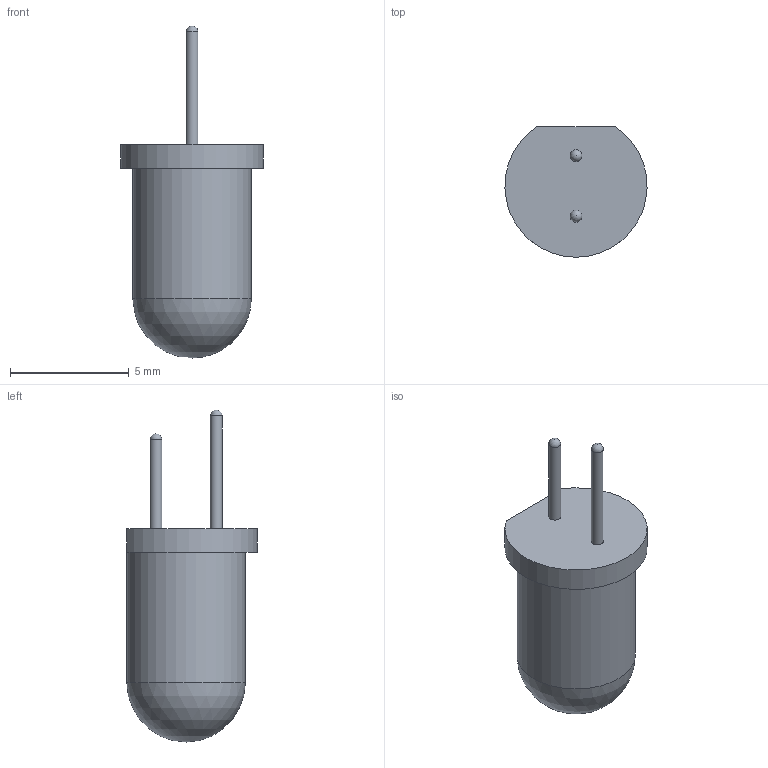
import cadquery as cq

lens_radius = 2.5
lens_height = 8.0
lens_straight = lens_height - lens_radius

flange_radius = 3.0
flange_thickness = 1.0
flat_y = lens_radius

lead_radius = 0.25
lead_pitch = 2.54
long_lead = 5.0
short_lead = 4.0

flange_bottom = -flange_thickness
dome_start = flange_bottom - lens_straight
dome_apex = flange_bottom - lens_height


def make_flange():
    disc = cq.Workplane("XY").workplane(offset=flange_bottom).circle(flange_radius).extrude(flange_thickness)
    kept_depth = flange_radius + flat_y
    kept_side = (
        cq.Workplane("XY")
        .workplane(offset=flange_bottom)
        .center(0, flat_y - kept_depth / 2)
        .rect(2 * flange_radius, kept_depth)
        .extrude(flange_thickness)
    )
    return disc.intersect(kept_side)


def make_lens():
    diagonal = lens_radius * 0.5**0.5
    return (
        cq.Workplane("XZ")
        .moveTo(0, flange_bottom)
        .lineTo(lens_radius, flange_bottom)
        .lineTo(lens_radius, dome_start)
        .threePointArc((diagonal, dome_start - diagonal), (0, dome_apex))
        .close()
        .revolve(360, (0, 0, 0), (0, 1, 0))
    )


def make_lead(y, length):
    shank_length = length - lead_radius
    shank = cq.Workplane("XY").center(0, y).circle(lead_radius).extrude(shank_length)
    tip = cq.Workplane("XY").sphere(lead_radius).translate((0, y, shank_length))
    return shank.union(tip)


result = make_flange().union(make_lens())
for lead_y, lead_length in ((-lead_pitch / 2, long_lead), (lead_pitch / 2, short_lead)):
    result = result.union(make_lead(lead_y, lead_length))